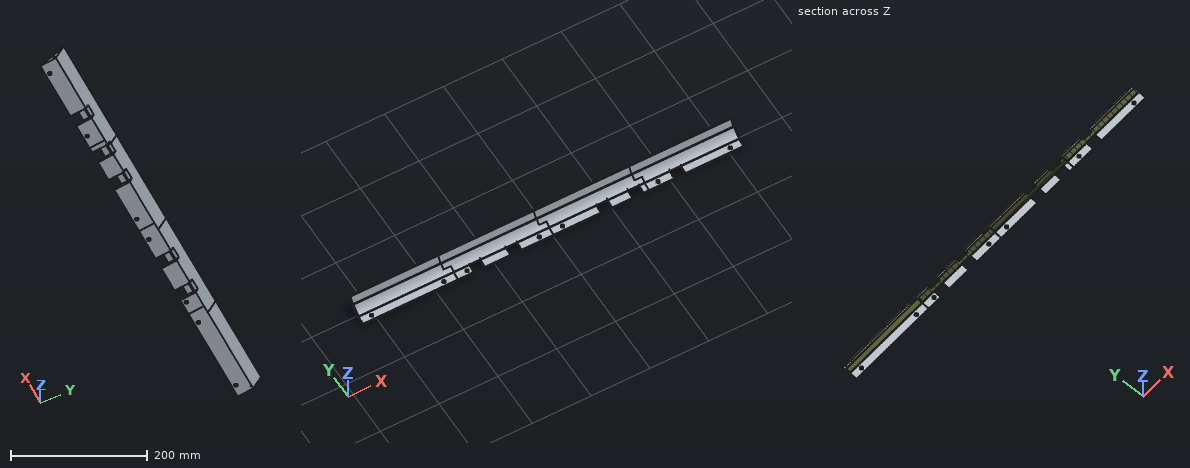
import cadquery as cq
import math

BAR_LENGTH = 646.8
SECTION_COUNT = 4

UPPER_ANGLE = 120.0
LOWER_ANGLE = -10.0
FLANGE_LENGTH = 26.07
FLANGE_THICKNESS = 4.0
RIB_THICKNESS = 6.7
RIB_END = 13.3
RIB_RADIUS = 33.0

BORE_DIAMETER = 3.0
RECESS_DIAMETER = 5.2
RECESS_DEPTH = 5.0
BORE_OFFSET = 4.9

SECTION_PITCH = 162.3
FIRST_JOINT = 161.3
JOINT_STEP = 12.6
JOINT_GAP = 0.3

SCREW_DIAMETER = 5.2
FIRST_SCREW = 18.5
SCREW_SPACING = 122.7
SCREW_EDGE_DISTANCE = 6.5

NOTCH_WIDTH = 19.0
NOTCH_HEIGHT = 5.5
NOTCH_CENTERS = [197.8, 260.1, 414.0, 467.6, 538.7]

BISECTOR_ANGLE = (UPPER_ANGLE + LOWER_ANGLE) / 2
REACH = 2 * FLANGE_LENGTH


def polar(distance, angle):
    """(Y, Z) point at a distance from the outer corner; angle 0 is -Y and 90 is +Z."""
    a = math.radians(angle)
    return (-distance * math.cos(a), distance * math.sin(a))


def flange_point(angle, inward, along, height):
    """(Y, Z) point at a length along a flange and a height above its outer face."""
    y, z = polar(along, angle)
    dy, dz = polar(height, angle + inward * 90)
    return (y + dy, z + dz)


def upper(along, height):
    return flange_point(UPPER_ANGLE, -1, along, height)


def lower(along, height):
    return flange_point(LOWER_ANGLE, 1, along, height)


def extrude_x(sketch, start, end):
    return sketch.extrude(end - start).translate((start, 0, 0))


def bore_circle(diameter):
    center = polar(BORE_OFFSET, BISECTOR_ANGLE)
    return cq.Workplane("YZ").center(*center).circle(diameter / 2)


def full_bar():
    outline = (
        cq.Workplane("YZ")
        .moveTo(0, 0)
        .lineTo(*lower(FLANGE_LENGTH, 0))
        .lineTo(*lower(FLANGE_LENGTH, FLANGE_THICKNESS))
        .lineTo(*lower(RIB_END, FLANGE_THICKNESS))
        .lineTo(*lower(RIB_END, RIB_THICKNESS))
        .radiusArc(upper(RIB_END, RIB_THICKNESS), -RIB_RADIUS)
        .lineTo(*upper(RIB_END, FLANGE_THICKNESS))
        .lineTo(*upper(FLANGE_LENGTH, FLANGE_THICKNESS))
        .lineTo(*upper(FLANGE_LENGTH, 0))
        .close()
    )
    bore = extrude_x(bore_circle(BORE_DIAMETER), 0, BAR_LENGTH)
    recess = extrude_x(bore_circle(RECESS_DIAMETER), 0, RECESS_DEPTH)
    return extrude_x(outline, 0, BAR_LENGTH).cut(bore).cut(recess)


def notch(center):
    start = center - NOTCH_WIDTH / 2
    outline = cq.Workplane("YZ").polyline([
        lower(-REACH, -REACH),
        lower(REACH, -REACH),
        lower(REACH, NOTCH_HEIGHT),
        lower(-REACH, NOTCH_HEIGHT),
    ]).close()
    return extrude_x(outline, start, start + NOTCH_WIDTH)


def screw_hole(x):
    along = FLANGE_LENGTH - SCREW_EDGE_DISTANCE
    y, z = lower(along, -FLANGE_THICKNESS)
    dy, dz = polar(1, LOWER_ANGLE + 90)
    start = cq.Vector(x, y, z)
    direction = cq.Vector(0, dy, dz)
    return cq.Workplane(
        cq.Solid.makeCylinder(SCREW_DIAMETER / 2, 3 * FLANGE_THICKNESS, start, direction)
    )


def half_space(side_angle, start, end):
    """Block on one side of the bisector plane, between two X positions."""
    outline = cq.Workplane("YZ").polyline([
        polar(-REACH, BISECTOR_ANGLE),
        polar(REACH, BISECTOR_ANGLE),
        polar(2 * REACH, side_angle),
    ]).close()
    return extrude_x(outline, start, end)


def bar_section(bar, index):
    lower_end = FIRST_JOINT + index * SECTION_PITCH
    lower_start = lower_end - SECTION_PITCH + JOINT_GAP
    upper_end = lower_end - JOINT_STEP
    upper_start = lower_start - JOINT_STEP
    if index == 0:
        lower_start = upper_start = 0
    if index == SECTION_COUNT - 1:
        lower_end = upper_end = BAR_LENGTH
    upper_block = half_space(BISECTOR_ANGLE + 90, upper_start, upper_end)
    lower_block = half_space(BISECTOR_ANGLE - 90, lower_start, lower_end)
    return bar.intersect(upper_block.union(lower_block))


bar = full_bar()
for index in range(SECTION_COUNT):
    first_screw = FIRST_SCREW + index * SECTION_PITCH
    bar = bar.cut(screw_hole(first_screw))
    bar = bar.cut(screw_hole(first_screw + SCREW_SPACING))
for center in NOTCH_CENTERS:
    bar = bar.cut(notch(center))

sections = [bar_section(bar, index) for index in range(SECTION_COUNT)]
result = cq.Compound.makeCompound([section.val() for section in sections])